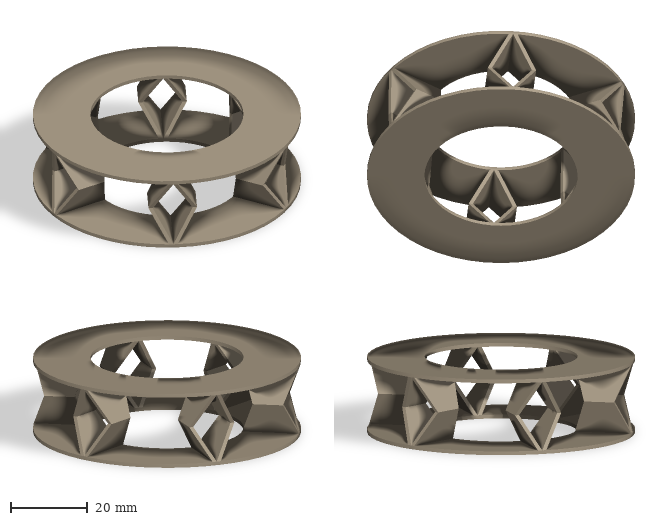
import cadquery as cq
import math

outer_diameter = 70.0
bore_diameter = 40.0
total_height = 20.0
ring_thickness = 1.0

tube_count = 6
first_tube_angle = 30.0
wall_lean = 30.0
wall_thickness = 1.0
end_inset = 3.5

outer_radius = outer_diameter / 2
bore_radius = bore_diameter / 2
gap_height = total_height - 2 * ring_thickness
half_gap = gap_height / 2
opening_half_width = half_gap * math.tan(math.radians(wall_lean))
wall_width = wall_thickness / math.cos(math.radians(wall_lean))
diamond_half_width = opening_half_width + wall_width


def make_ring(bottom):
    """Flat ring whose lower face is at height bottom."""
    return (
        cq.Workplane("XY", origin=(0, 0, bottom))
        .circle(outer_radius)
        .circle(bore_radius)
        .extrude(ring_thickness)
    )


def make_tube():
    """Tube along +X: outer diamond cut flat by the rings, with V-notched ends."""
    section = (
        cq.Workplane("YZ")
        .polyline([
            (wall_width, half_gap),
            (diamond_half_width, 0),
            (wall_width, -half_gap),
            (-wall_width, -half_gap),
            (-diamond_half_width, 0),
            (-wall_width, half_gap),
        ])
        .close()
        .extrude(outer_radius)
    )
    opening = (
        cq.Workplane("YZ")
        .polyline([
            (opening_half_width, 0),
            (0, half_gap),
            (-opening_half_width, 0),
            (0, -half_gap),
        ])
        .close()
        .extrude(outer_radius)
    )
    side_profile = (
        cq.Workplane("XZ")
        .polyline([
            (bore_radius, half_gap),
            (outer_radius, half_gap),
            (outer_radius - end_inset, 0),
            (outer_radius, -half_gap),
            (bore_radius, -half_gap),
            (bore_radius + end_inset, 0),
        ])
        .close()
        .extrude(diamond_half_width, both=True)
    )
    return section.cut(opening).intersect(side_profile)


result = make_ring(half_gap).union(make_ring(-half_gap - ring_thickness))
tube = make_tube()
for index in range(tube_count):
    angle = first_tube_angle + index * 360 / tube_count
    result = result.union(tube.rotate((0, 0, 0), (0, 0, 1), angle))